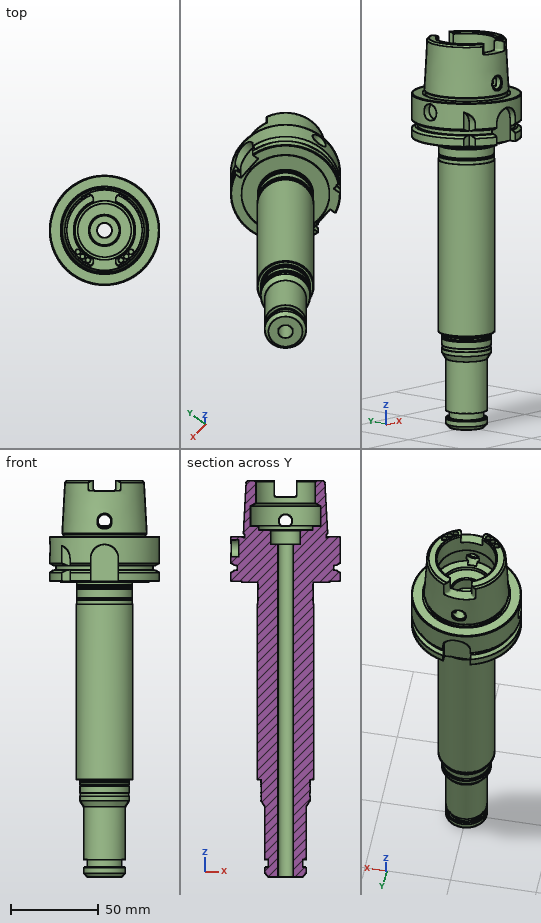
import cadquery as cq
import math


total_height = 227.5
flange_top = 195.5
flange_bottom = 169.7
flange_foot = 169.0
groove_middle = 177.5
collar_top = 156.5
stem_bottom = 55.7
nose_taper_top = 44.0
nose_taper_bottom = 40.3
neck_top = 10.0
head_top = 6.0
head_bottom = 2.3

shank_tip_radius = 22.8
shank_base_radius = 24.3
flange_radius = 63.0 / 2
flange_foot_radius = 25.3
stem_radius = 32.5 / 2
collar_radius = 32.0 / 2
nose_radius = 28.5 / 2
spigot_radius = 24.0 / 2
neck_radius = 10.0
tip_radius = 9.8

rim_chamfer = 1.1
flange_chamfer = 0.5
stem_chamfer = 0.5
head_chamfer = 0.7

gripper_floor_radius = 28.0
gripper_shoulder_radius = 29.3
gripper_floor_width = 2.3
gripper_shoulder_width = 2.7
gripper_mouth_width = 5.5

relief_depth = 0.7
relief_outer_radius = 25.3
relief_height = 1.8

ring_depth = 0.2
stem_rings = [(167.2, 1.0), (165.6, 1.0), (159.5, 1.4)]
nose_rings = [(54.8, 1.0), (52.8, 1.1), (47.3, 2.0)]

bore_radius = 34.0 / 2
bore_chamfer = 0.8
bore_lip = 214.5
undercut_radius = 20.0
undercut_angle = 30.0
bore_floor = 201.5
recess_radius = 30.7 / 2
recess_floor = 199.3
socket_radius = 8.5
socket_chamfer = 0.7
socket_floor = 191.0
passage_radius = 8.5 / 2

notch_half_width = 6.4
notch_edge_radius = 3.0
notch_corner_radius = 1.1
front_notch_floor = 221.5
rear_notch_floor = 218.2

balance_hole_diameter = 3.0
balance_circle_radius = 19.5
balance_hole_depth = 3.0
balance_centre_angle = 40.0
balance_pitch_angle = 11.0

cross_hole_level = 204.3
cross_hole_diameter = 7.5
cross_hole_mouth = 9.0
cross_hole_mouth_inset = 0.5

keyway_width = 16.0
keyway_top = 190.9
keyway_floor = 26.5
index_corner = 19.8
chip_hole_diameter = 9.5
chip_hole_level = 188.5
chip_hole_floor = 26.8


def revolve(points):
    """Turn a closed (radius, height) outline about the Z axis."""
    return cq.Workplane("XZ").polyline(points).close().revolve(360, (0, 0, 0), (0, 1, 0))


def ring_groove(surface_radius, middle, width):
    """Shallow V-sided ring cut into a cylinder."""
    floor_radius = surface_radius - ring_depth
    half = width / 2
    return revolve([
        (surface_radius + ring_depth, middle + half + ring_depth),
        (floor_radius, middle + half - ring_depth),
        (floor_radius, middle - half + ring_depth),
        (surface_radius + ring_depth, middle - half - ring_depth),
    ])


def turned_body():
    """Outline of the whole holder, from the tip of the nose to the rim."""
    return revolve([
        (0, 0),
        (tip_radius, 0),
        (spigot_radius, head_bottom),
        (spigot_radius, head_top - head_chamfer),
        (spigot_radius - head_chamfer, head_top),
        (neck_radius, head_top),
        (neck_radius, neck_top),
        (spigot_radius, neck_top),
        (spigot_radius, nose_taper_bottom),
        (nose_radius, nose_taper_top),
        (nose_radius, stem_bottom),
        (stem_radius - stem_chamfer, stem_bottom),
        (stem_radius, stem_bottom + stem_chamfer),
        (stem_radius, collar_top),
        (collar_radius, collar_top),
        (collar_radius, flange_foot),
        (flange_foot_radius, flange_foot),
        (flange_foot_radius, flange_bottom),
        (flange_radius - flange_chamfer, flange_bottom),
        (flange_radius, flange_bottom + flange_chamfer),
        (flange_radius, groove_middle - gripper_mouth_width / 2),
        (gripper_shoulder_radius, groove_middle - gripper_shoulder_width / 2),
        (gripper_floor_radius, groove_middle - gripper_floor_width / 2),
        (gripper_floor_radius, groove_middle + gripper_floor_width / 2),
        (gripper_shoulder_radius, groove_middle + gripper_shoulder_width / 2),
        (flange_radius, groove_middle + gripper_mouth_width / 2),
        (flange_radius, flange_top - flange_chamfer),
        (flange_radius - flange_chamfer, flange_top),
        (relief_outer_radius, flange_top),
        (shank_base_radius - relief_depth, flange_top - relief_depth),
        (shank_base_radius - relief_depth, flange_top + relief_height - relief_depth),
        (shank_base_radius, flange_top + relief_height),
        (shank_tip_radius, total_height - rim_chamfer),
        (shank_tip_radius - rim_chamfer, total_height),
        (0, total_height),
    ])


def inner_bore():
    """Clamping bore, undercut, coolant socket and through passage."""
    undercut_top = bore_lip - (undercut_radius - bore_radius) * math.tan(math.radians(undercut_angle))
    return revolve([
        (0, 0),
        (passage_radius, 0),
        (passage_radius, socket_floor),
        (socket_radius, socket_floor),
        (socket_radius, recess_floor - socket_chamfer),
        (socket_radius + socket_chamfer, recess_floor),
        (recess_radius, recess_floor),
        (recess_radius, bore_floor),
        (undercut_radius, bore_floor),
        (undercut_radius, undercut_top),
        (bore_radius, bore_lip),
        (bore_radius, total_height - bore_chamfer),
        (bore_radius + bore_chamfer, total_height),
        (0, total_height),
    ])


def drive_notch(floor_level):
    """Notch in the +Y side of the rim, with rounded outer edges and floor corners."""
    wide = notch_half_width + notch_edge_radius
    edge_end = math.sqrt(shank_tip_radius ** 2 - wide ** 2)
    edge_start = edge_end - notch_edge_radius
    arc_offset = notch_edge_radius * math.sqrt(0.5)
    arc_x = wide - arc_offset
    arc_y = edge_start + arc_offset
    return (
        cq.Workplane("XY", origin=(0, 0, floor_level))
        .moveTo(-notch_half_width, 0)
        .lineTo(notch_half_width, 0)
        .lineTo(notch_half_width, edge_start)
        .threePointArc((arc_x, arc_y), (wide, edge_end))
        .lineTo(wide, flange_radius)
        .lineTo(-wide, flange_radius)
        .lineTo(-wide, edge_end)
        .threePointArc((-arc_x, arc_y), (-notch_half_width, edge_start))
        .close()
        .extrude(total_height - floor_level)
        .faces("<Z").edges("|Y").fillet(notch_corner_radius)
    )


def balance_holes():
    """Three blind holes on each side of the front notch."""
    angles = []
    for step in (-1, 0, 1):
        offset = balance_centre_angle + step * balance_pitch_angle
        angles += [270 - offset, 270 + offset]
    centres = [
        (balance_circle_radius * math.cos(math.radians(a)), balance_circle_radius * math.sin(math.radians(a)))
        for a in angles
    ]
    return (
        cq.Workplane("XY", origin=(0, 0, total_height))
        .pushPoints(centres)
        .circle(balance_hole_diameter / 2)
        .extrude(-balance_hole_depth)
    )


def cross_hole():
    """Holes along Y, one through each shank wall, chamfered at the mouth."""
    mouth_chamfer = (cross_hole_mouth - cross_hole_diameter) / 2
    mouth_y = -shank_base_radius + cross_hole_mouth_inset
    hole = (
        cq.Workplane("XZ", origin=(0, -bore_radius, cross_hole_level))
        .circle(cross_hole_diameter / 2)
        .extrude(flange_radius - bore_radius)
    )
    cone = cq.Workplane(cq.Solid.makeCone(
        cross_hole_mouth / 2, cross_hole_diameter / 2, mouth_chamfer,
        cq.Vector(0, mouth_y, cross_hole_level), cq.Vector(0, 1, 0),
    ))
    side = hole.union(cone)
    return side.union(side.mirror("XZ"))


def round_top_slot(width, top_level, center_x, floor_y):
    """Cutter for a slot with a round upper end, open downward and toward -Y."""
    radius = width / 2
    return (
        cq.Workplane("XZ", origin=(center_x, floor_y, 0))
        .moveTo(-radius, flange_foot)
        .lineTo(-radius, top_level - radius)
        .threePointArc((0, top_level), (radius, top_level - radius))
        .lineTo(radius, flange_foot)
        .close()
        .extrude(flange_radius)
    )


def chip_hole():
    """Flat-bottomed round pocket on the -X side of the flange."""
    return (
        cq.Workplane("YZ", origin=(-chip_hole_floor, 0, chip_hole_level))
        .circle(chip_hole_diameter / 2)
        .extrude(-flange_radius)
    )


result = turned_body().cut(inner_bore())

for level, width in stem_rings:
    result = result.cut(ring_groove(collar_radius, level, width))
for level, width in nose_rings:
    result = result.cut(ring_groove(nose_radius, level, width))

result = result.cut(drive_notch(rear_notch_floor))
result = result.cut(drive_notch(front_notch_floor).mirror("XZ"))
result = result.cut(balance_holes())
result = result.cut(cross_hole())

keyway = round_top_slot(keyway_width, keyway_top, 0, -keyway_floor)
result = result.cut(keyway).cut(keyway.mirror("XZ"))
index_slot_center = -index_corner - keyway_width / 2
result = result.cut(round_top_slot(keyway_width, keyway_top, index_slot_center, -index_corner))
result = result.cut(chip_hole())